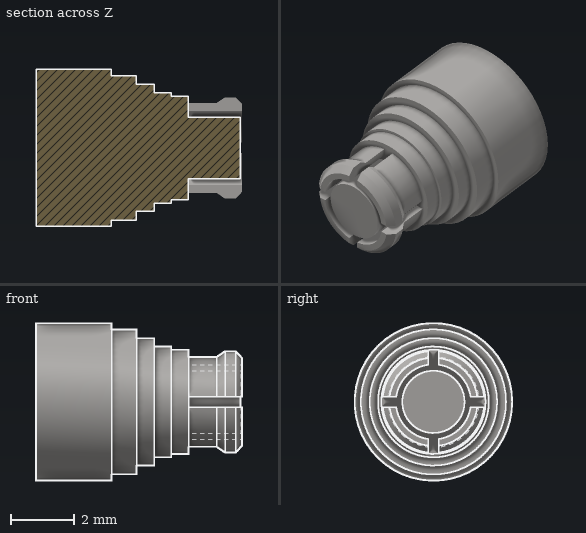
import cadquery as cq

body_steps = [
    (2.4, 2.5015),
    (3.2, 2.3),
    (3.755, 2.02),
    (4.3, 1.76),
    (4.84, 1.655),
]
body_end = body_steps[-1][0]

collar_end = 6.54
collar_radius = 1.44
lip_start = 5.735
lip_crest_start = 6.0
lip_crest_end = 6.34
lip_radius = 1.615
tip_radius = 1.4

core_radius = 0.99
bore_radius = 1.19
core_end = 6.495
slot_width = 0.335


def make_body():
    """Solid of revolution about X, one cylinder per step."""
    profile = cq.Workplane("XY").moveTo(0, 0)
    step_start = 0
    for step_end, radius in body_steps:
        profile = profile.lineTo(step_start, radius).lineTo(step_end, radius)
        step_start = step_end
    profile = profile.lineTo(body_end, 0).close()
    return profile.revolve(360, (0, 0, 0), (1, 0, 0))


def make_collar():
    """Lipped tube around the core, cut into four fingers."""
    tube = (
        cq.Workplane("XY")
        .polyline([
            (body_end, bore_radius),
            (body_end, collar_radius),
            (lip_start, collar_radius),
            (lip_crest_start, lip_radius),
            (lip_crest_end, lip_radius),
            (collar_end, tip_radius),
            (collar_end, bore_radius),
        ])
        .close()
        .revolve(360, (0, 0, 0), (1, 0, 0))
    )
    slot_length = collar_end - body_end
    slot_span = 2 * lip_radius
    slots = (
        cq.Workplane("YZ", origin=(body_end, 0, 0))
        .rect(slot_width, slot_span)
        .extrude(slot_length)
        .union(
            cq.Workplane("YZ", origin=(body_end, 0, 0))
            .rect(slot_span, slot_width)
            .extrude(slot_length)
        )
    )
    return tube.cut(slots)


def make_core():
    """Plain cylinder clear of the collar bore, ending just short of its tip."""
    return cq.Workplane("YZ", origin=(body_end, 0, 0)).circle(core_radius).extrude(core_end - body_end)


result = make_body().union(make_core()).union(make_collar())